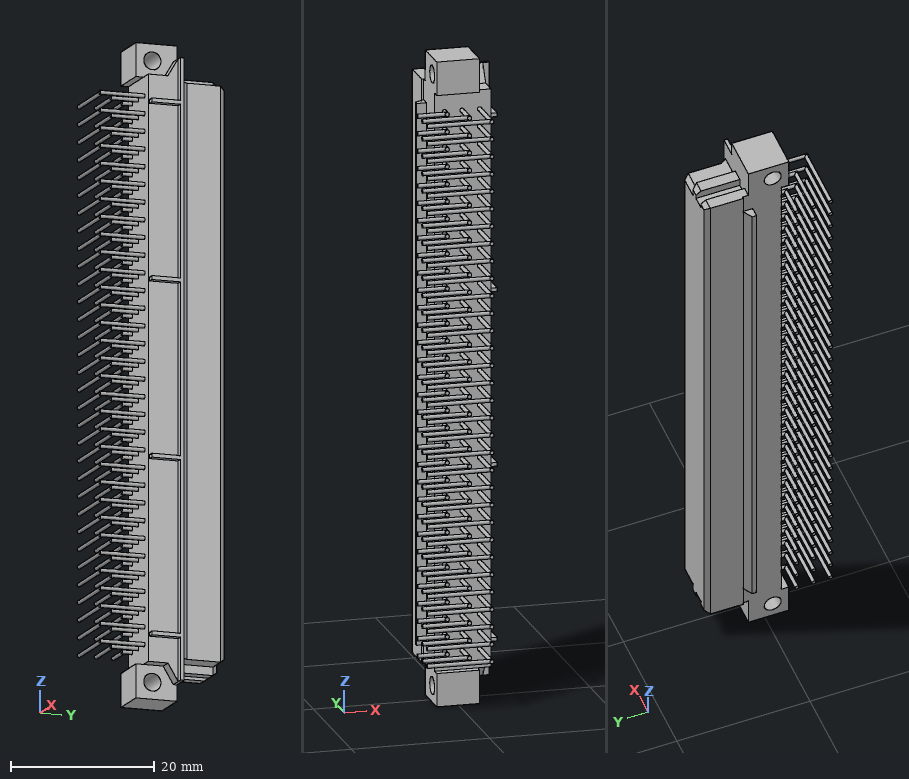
import cadquery as cq

LENGTH = 94.0
TOTAL_DEPTH = 18.1

PIN_DIAMETER = 0.6
PITCH = 2.5
PIN_ROWS = 3
PINS_PER_ROW = 32
FIRST_LEG_X = 4.2
PIN_EMBED = 0.5

BODY_LEFT = 2.8
BODY_RIGHT = 11.0
BODY_BOTTOM = 6.6
BODY_LENGTH = 84.2
EAR_RIGHT = 9.0
EAR_BOTTOM = 5.45
EAR_TOP = 11.6
HOLE_DIAMETER = 2.5
HOLE_Y = 7.9
HOLE_SPACING = 89.1

MATING_LEFT = 2.5
MATING_RIGHT = 10.8
MATING_LEDGE = 12.4
MATING_LENGTH = 85.1
KEY_DEPTH = 1.2
GROOVE_LEFT = 4.2
GROOVE_RIGHT = 6.0
SHOULDER_X = 7.7
CHAMFER_DEPTH = 0.75
CHAMFER_INSET = 0.6

FLANGE_RIGHT = 11.9
FLANGE_BOTTOM = 11.0
FLANGE_LENGTH = 89.3
FLANGE_SLOPE_END = 11.4
GUSSET_BOTTOM = 9.5
RIB_COUNT = 4
RIB_SPACING = 25.5
RIB_THICKNESS = 0.6
RIB_BOTTOM = 6.8

LATCH_LEFT = 1.4
LATCH_BOTTOM = 10.9
LATCH_LENGTH = 79.0


def box(x_min, x_max, y_min, y_max, z_min, z_max):
    size = (x_max - x_min, y_max - y_min, z_max - z_min)
    return cq.Workplane("XY").box(*size, centered=False).translate((x_min, y_min, z_min))


def centred_bar(x_min, x_max, y_min, y_max, length):
    return box(x_min, x_max, y_min, y_max, -length / 2, length / 2)


def prism_along_z(points, length):
    return cq.Workplane("XY").polyline(points).close().extrude(length / 2, both=True)


def make_mating_block():
    """Chamfered block with a stepped shoulder and a key groove at both ends."""
    half = MATING_LENGTH / 2
    shoulder = half - KEY_DEPTH
    depth = TOTAL_DEPTH - EAR_TOP
    outline = [
        (MATING_LEFT, -half),
        (SHOULDER_X, -half),
        (SHOULDER_X, -shoulder),
        (MATING_RIGHT, -shoulder),
        (MATING_RIGHT, shoulder),
        (SHOULDER_X, shoulder),
        (SHOULDER_X, half),
        (MATING_LEFT, half),
    ]
    block = (
        cq.Workplane("XZ", origin=(0, EAR_TOP, 0)).polyline(outline).close().extrude(-depth)
        .faces(">Y").chamfer(CHAMFER_DEPTH, CHAMFER_INSET)
    )
    for z_min in (shoulder, -half):
        groove = box(GROOVE_LEFT, GROOVE_RIGHT, EAR_TOP, TOTAL_DEPTH, z_min, z_min + KEY_DEPTH)
        block = block.cut(groove)
    return block.cut(centred_bar(MATING_LEFT, BODY_LEFT, EAR_TOP, MATING_LEDGE, MATING_LENGTH))


def make_ears():
    """Solid mounting ears at both ends, each drilled through along X."""
    ears = centred_bar(BODY_LEFT, EAR_RIGHT, EAR_BOTTOM, EAR_TOP, LENGTH)
    ears = ears.cut(centred_bar(BODY_LEFT, EAR_RIGHT, EAR_BOTTOM, EAR_TOP, BODY_LENGTH))
    holes = (
        cq.Workplane("YZ", origin=(BODY_LEFT, 0, 0))
        .pushPoints([(HOLE_Y, -HOLE_SPACING / 2), (HOLE_Y, HOLE_SPACING / 2)])
        .circle(HOLE_DIAMETER / 2)
        .extrude(EAR_RIGHT - BODY_LEFT)
    )
    return ears.cut(holes)


def make_flange():
    """Long flange plate, the slope leading to the mating block, and gussets behind its ends."""
    plate = centred_bar(EAR_RIGHT, FLANGE_RIGHT, FLANGE_BOTTOM, EAR_TOP, FLANGE_LENGTH)
    slope_outline = [
        (EAR_RIGHT, EAR_TOP),
        (FLANGE_SLOPE_END, EAR_TOP),
        (MATING_RIGHT, MATING_LEDGE),
        (EAR_RIGHT, MATING_LEDGE),
    ]
    slope = prism_along_z(slope_outline, MATING_LENGTH - 2 * KEY_DEPTH)
    gusset_outline = [
        (GUSSET_BOTTOM, BODY_LENGTH / 2),
        (FLANGE_BOTTOM, BODY_LENGTH / 2),
        (FLANGE_BOTTOM, FLANGE_LENGTH / 2),
    ]
    gusset = (
        cq.Workplane("YZ", origin=(EAR_RIGHT, 0, 0))
        .polyline(gusset_outline).close().extrude(BODY_RIGHT - EAR_RIGHT)
    )
    return plate.union(slope).union(gusset).union(gusset.mirror("XY"))


def make_latch():
    """Wedge-shaped rail, its sloped side rising to the mating block."""
    outline = [
        (BODY_LEFT, LATCH_BOTTOM),
        (LATCH_LEFT, LATCH_BOTTOM),
        (LATCH_LEFT, EAR_TOP),
        (BODY_LEFT, MATING_LEDGE),
    ]
    return prism_along_z(outline, LATCH_LENGTH)


def make_ribs():
    """Thin cross ribs between the body side and the flange."""
    rib = centred_bar(BODY_RIGHT, FLANGE_RIGHT, RIB_BOTTOM, FLANGE_BOTTOM, RIB_THICKNESS)
    ribs = cq.Workplane("XY")
    for index in range(RIB_COUNT):
        z = (index - (RIB_COUNT - 1) / 2) * RIB_SPACING
        ribs = ribs.add(rib.translate((0, 0, z)))
    return ribs


def make_pin(row):
    """Round leg running out of the body toward -Y, with a round foot turned off toward -X."""
    leg_x = FIRST_LEG_X + row * PITCH
    foot_y = PIN_DIAMETER / 2 + (PIN_ROWS - 1 - row) * PITCH
    root_y = BODY_BOTTOM + PIN_EMBED
    radius = PIN_DIAMETER / 2
    foot = cq.Workplane("YZ").center(foot_y, 0).circle(radius).extrude(leg_x)
    leg = (
        cq.Workplane("XZ", origin=(leg_x, root_y, 0))
        .circle(radius).extrude(root_y - foot_y + radius)
    )
    return foot.union(leg)


def make_pins():
    pins = cq.Workplane("XY")
    for row in range(PIN_ROWS):
        pin = make_pin(row)
        for index in range(PINS_PER_ROW):
            z = (index - (PINS_PER_ROW - 1) / 2) * PITCH
            pins = pins.add(pin.translate((0, 0, z)))
    return pins


def fuse_all(base, pieces):
    return cq.Workplane("XY").newObject([base.val().fuse(*pieces.vals())])


housing = centred_bar(BODY_LEFT, BODY_RIGHT, BODY_BOTTOM, EAR_TOP, BODY_LENGTH)
housing = housing.union(make_mating_block()).union(make_ears())
housing = housing.union(make_flange()).union(make_latch())
housing = fuse_all(housing, make_ribs())
result = fuse_all(housing, make_pins())